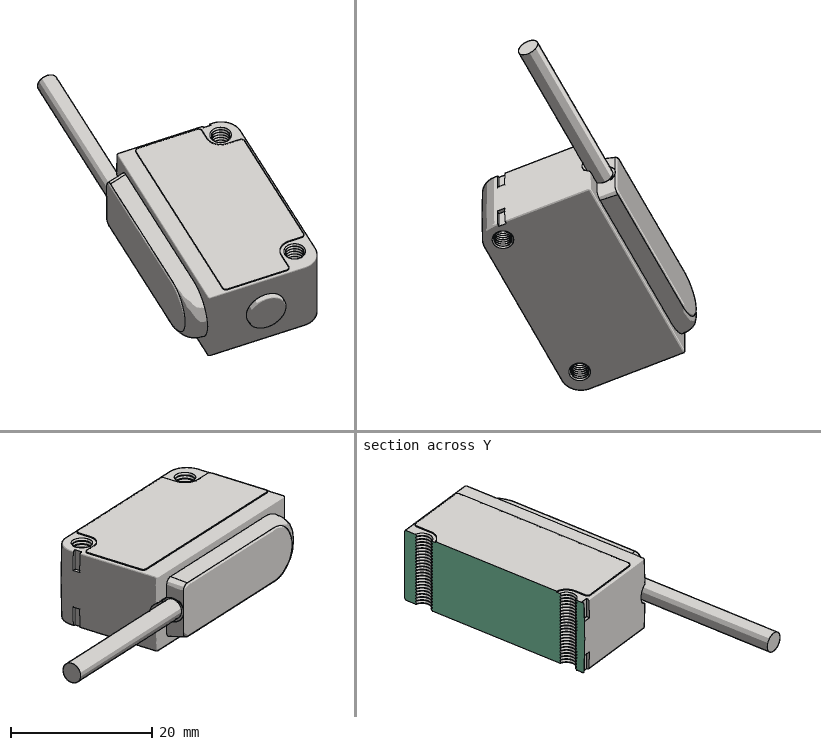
import cadquery as cq
import math

BODY_LENGTH = 31.7
BODY_DEPTH = 18.0
BODY_HALF_HEIGHT = 5.95
BODY_BACK_RADIUS = 3.0
BODY_EDGE_RADIUS = 0.35
LEFT_BULGE = 0.15

HOLE_RADIUS = 1.3
THREAD_DEPTH = 0.2
THREAD_COUNT = 12
THREAD_PITCH = BODY_HALF_HEIGHT / (THREAD_COUNT - 0.5)
HOLE_Y = BODY_DEPTH - BODY_BACK_RADIUS
HOLE_X = (2.8, 28.3)

PANEL_THICKNESS = 0.15
PANEL_RIGHT_MARGIN = 0.4
PANEL_BACK_MARGIN = 0.45
PANEL_LEFT = 0.5
PANEL_RIGHT = BODY_LENGTH - PANEL_RIGHT_MARGIN
PANEL_FRONT = 2.6
PANEL_BACK = BODY_DEPTH - PANEL_BACK_MARGIN
PANEL_CORNER_RADIUS = 0.55
LAND_RADIUS = 2.1

NOTCH_WIDTH = 1.15
NOTCH_HEIGHT = 3.05
NOTCH_DEPTH = 0.45
NOTCH_FROM_BACK = 4.05

BUTTON_RADIUS = 2.95
BUTTON_HEIGHT = 0.8
BUTTON_EDGE_RADIUS = 0.3
BUTTON_Y = 8.85

COVER_HEIGHT = 2.85
COVER_LEFT = 2.3
COVER_HALF_WIDTH = 4.7
COVER_DRAFT = 10.0
COVER_CORNER_RADIUS = 1.0
COVER_EDGE_RADIUS = 0.3
DOME_RADIUS = 2.0
DOME_END = 31.45
DOME_STEPS = 5
CAP_STEPS = 3

OVERALL_LENGTH = 54.7
CABLE_RADIUS = 1.55
CABLE_Y = -0.7
CABLE_CLEARANCE_RADIUS = 1.9
CLEARANCE_INTO_COVER = 0.5
CABLE_INTO_COVER = 2.2


def box(x_range, y_range, z_range):
    """Box between the given limits along each axis."""
    lows, highs = zip(x_range, y_range, z_range)
    sizes = [high - low for low, high in zip(lows, highs)]
    return cq.Workplane("XY").box(*sizes, centered=False).translate(lows)


def cylinder_along_x(radius, start, end, y):
    """Cylinder on the parting plane, running from start to end along X."""
    return cq.Workplane("YZ", origin=(start, y, 0)).circle(radius).extrude(end - start)


def body_outline(left):
    """Closed outline of the housing as seen from above, with round back corners."""
    corner = BODY_BACK_RADIUS
    side_end = BODY_DEPTH - corner
    bend = corner * (1 - math.sqrt(0.5))
    return (
        cq.Workplane("XY")
        .moveTo(left, 0)
        .lineTo(BODY_LENGTH, 0)
        .lineTo(BODY_LENGTH, side_end)
        .threePointArc((BODY_LENGTH - bend, BODY_DEPTH - bend), (BODY_LENGTH - corner, BODY_DEPTH))
        .lineTo(left + corner, BODY_DEPTH)
        .threePointArc((left + bend, BODY_DEPTH - bend), (left, side_end))
        .close()
        .val()
    )


def make_body():
    """Housing in two mirrored halves, its left side drafted away from the parting plane."""
    parting = body_outline(-LEFT_BULGE)
    top = body_outline(0).translate(cq.Vector(0, 0, BODY_HALF_HEIGHT))
    upper = cq.Workplane(cq.Solid.makeLoft([parting, top], True))
    upper = upper.faces(">Z or <Y").edges("not <Z").fillet(BODY_EDGE_RADIUS)
    return upper.union(upper.mirror("XY"))


def make_panel():
    """Thin panel on the top face, cut away around the mounting holes."""
    z_range = (BODY_HALF_HEIGHT, BODY_HALF_HEIGHT + PANEL_THICKNESS)
    panel = box((PANEL_LEFT, PANEL_RIGHT), (PANEL_FRONT, PANEL_BACK), z_range)
    for x, outer_x in zip(HOLE_X, (0, BODY_LENGTH)):
        inner_x = x + math.copysign(LAND_RADIUS, x - outer_x)
        land = box(sorted((outer_x, inner_x)), (HOLE_Y - LAND_RADIUS, BODY_DEPTH), z_range)
        inner_side = ">X" if inner_x > outer_x else "<X"
        panel = panel.cut(land.edges(f"|Z and <Y and {inner_side}").fillet(LAND_RADIUS))
    return panel.edges("|Z").edges("<X or >X or <Y or >Y").fillet(PANEL_CORNER_RADIUS)


def make_mounting_hole(x):
    """Threaded through hole, its thread simplified to a stack of V-shaped grooves."""
    profile = cq.Workplane("XZ").moveTo(0, 0)
    for groove in range(THREAD_COUNT):
        start = groove * THREAD_PITCH
        profile = profile.lineTo(HOLE_RADIUS, start)
        profile = profile.lineTo(HOLE_RADIUS + THREAD_DEPTH, start + THREAD_PITCH / 2)
    half = profile.lineTo(0, BODY_HALF_HEIGHT).close().revolve(360, (0, 0), (0, 1))
    return half.union(half.mirror("XY")).translate((x, HOLE_Y, 0))


def make_notches():
    """Shallow notches open to the top and bottom faces, near the back of the left side."""
    y_high = BODY_DEPTH - NOTCH_FROM_BACK + NOTCH_WIDTH / 2
    upper = box(
        (-LEFT_BULGE, NOTCH_DEPTH),
        (y_high - NOTCH_WIDTH, y_high),
        (BODY_HALF_HEIGHT - NOTCH_HEIGHT, BODY_HALF_HEIGHT),
    )
    return upper, upper.mirror("XY")


def make_button():
    """Round button with a rounded rim, its root buried in the housing."""
    return (
        cylinder_along_x(BUTTON_RADIUS, BODY_LENGTH - BUTTON_HEIGHT, BODY_LENGTH + BUTTON_HEIGHT, BUTTON_Y)
        .faces(">X")
        .edges()
        .fillet(BUTTON_EDGE_RADIUS)
    )


def cover_outline(height, end_x, inset=0.0):
    """Cover outline at a height above the front face, moved inward by the inset.

    The walls lean in with the draft; the left corners are round and the right end is a semicircle.
    """
    lean = height * math.tan(math.radians(COVER_DRAFT))
    left = COVER_LEFT + lean + inset
    end = end_x - inset
    half = COVER_HALF_WIDTH - lean - inset
    corner = COVER_CORNER_RADIUS - inset
    bend = corner * (1 - math.sqrt(0.5))
    return (
        cq.Workplane("XZ", origin=(0, -height, 0))
        .moveTo(left, corner - half)
        .lineTo(left, half - corner)
        .threePointArc((left + bend, half - bend), (left + corner, half))
        .lineTo(end - half, half)
        .threePointArc((end, 0), (end - half, -half))
        .lineTo(left + corner, -half)
        .threePointArc((left + bend, bend - half), (left, corner - half))
        .close()
        .val()
    )


def make_cover():
    """Cover whose right end follows a quarter circle, topped by a thin cap with a round edge."""
    cap_base = COVER_HEIGHT - COVER_EDGE_RADIUS
    dome_base = cap_base - DOME_RADIUS
    outlines = [cover_outline(0, DOME_END)]
    for step in range(DOME_STEPS + 1):
        angle = math.pi / 2 * step / DOME_STEPS
        height = dome_base + DOME_RADIUS * math.sin(angle)
        end_x = DOME_END - DOME_RADIUS * (1 - math.cos(angle))
        outlines.append(cover_outline(height, end_x))
    walls = cq.Workplane(cq.Solid.makeLoft(outlines))

    cap_outlines = []
    for step in range(CAP_STEPS + 1):
        angle = math.pi / 2 * step / CAP_STEPS
        height = cap_base + COVER_EDGE_RADIUS * math.sin(angle)
        inset = COVER_EDGE_RADIUS * (1 - math.cos(angle))
        cap_outlines.append(cover_outline(height, DOME_END - DOME_RADIUS, inset))
    cap = cq.Workplane(cq.Solid.makeLoft(cap_outlines))
    return walls.union(cap)


cable_start = BODY_LENGTH + BUTTON_HEIGHT - OVERALL_LENGTH
clearance = cylinder_along_x(
    CABLE_CLEARANCE_RADIUS, -LEFT_BULGE, COVER_LEFT + CLEARANCE_INTO_COVER, CABLE_Y
)
cable = cylinder_along_x(CABLE_RADIUS, cable_start, COVER_LEFT + CABLE_INTO_COVER, CABLE_Y)

result = make_body().union(make_panel())
for x in HOLE_X:
    result = result.cut(make_mounting_hole(x))
for notch in make_notches():
    result = result.cut(notch)
result = result.union(make_button()).union(make_cover()).cut(clearance).union(cable)